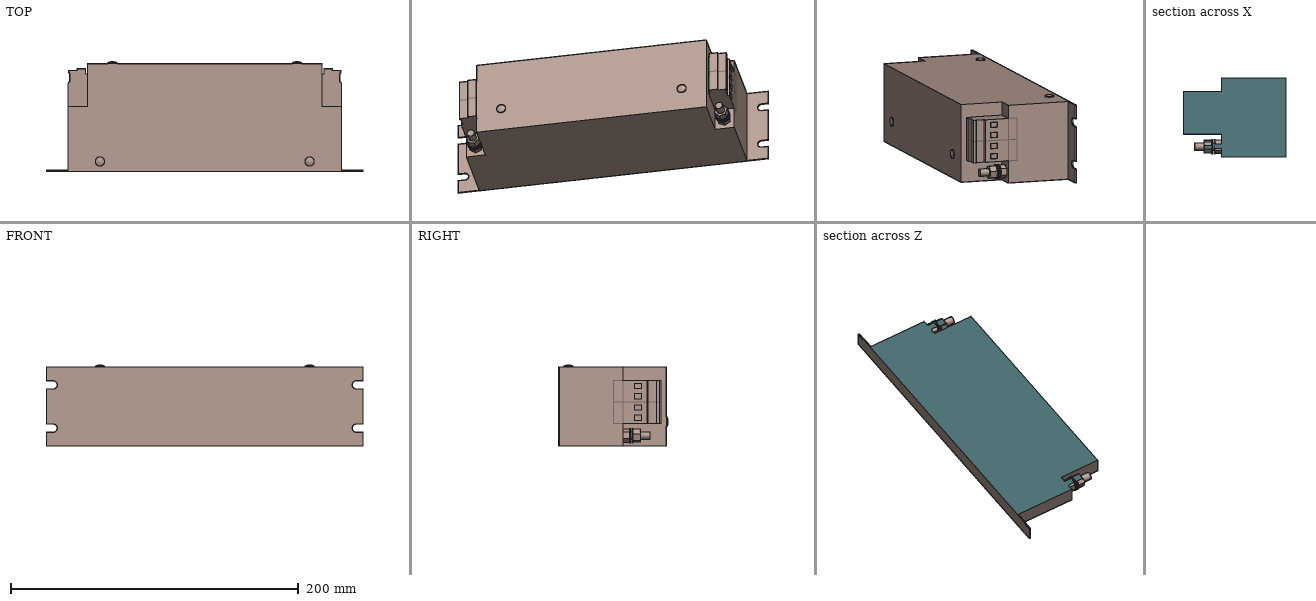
import cadquery as cq
import math

PLATE_LENGTH = 220.0
PLATE_THICKNESS = 1.0
HEIGHT = 55.0
SLOT_WIDTH = 5.5
SLOT_DEPTH = 7.5
SLOT_SPACING = 30.0

HOUSING_LENGTH = 190.0
HOUSING_DEPTH = 75.0
STEP_Y = 45.0
STEP_WIDTH = 13.5

SCREW_RADIUS = 3.2
SCREW_HEIGHT = 1.37
SCREW_RIM = 0.6
TOP_SCREW_X = 72.8
TOP_SCREW_Y = 7.0
BACK_SCREW_X = 64.0
BACK_SCREW_Z = 17.0

TERMINAL_BOTTOM = 15.75
TERMINAL_HEIGHT = 15.0
TERMINALS_PER_END = 2
TERMINAL_FRONT_Y = 38.4
TERMINAL_SHOULDER_Y = 61.6
TERMINAL_RECESS_Y = 62.4
TERMINAL_RECESS = 1.2
LIP_FRONT_Y = 68.3
LIP_BACK_Y = 70.3
LIP_WIDTH = 0.8
RIDGE_START = 6.4
RIDGE_BACK_Y = 71.5
GAP_FLOOR_Y = 67.8
GAP_WIDTH = 1.2
WINDOW_LENGTH = 4.8
WINDOW_HEIGHT = 3.6
WINDOW_DEPTH = 0.8
WINDOW_Y = 55.4
WINDOW_PITCH = 7.2

STUD_X = 88.0
STUD_Z = 7.25
STUD_RADIUS = 2.6
STUD_END_Y = 63.7
NUT_ACROSS_FLATS = 8.1
NUT_CORNER_DIAMETER = NUT_ACROSS_FLATS / math.cos(math.pi / 6)
INNER_NUT_END_Y = 49.4
OUTER_NUT_START_Y = 52.0
OUTER_NUT_END_Y = 57.1
INNER_NUT_TURN = 25.0
OUTER_NUT_TURN = -16.0
WASHER_RADIUS = 5.0
INNER_WASHER_THICKNESS = 0.9
OUTER_WASHER_THICKNESS = 0.7

HOUSING_END = HOUSING_LENGTH / 2
STEP_WALL = HOUSING_END - STEP_WIDTH
MID_Z = HEIGHT / 2


def make_plate():
    """Thin plate with two open-ended slots in each short side."""
    plate = cq.Workplane("XY").box(PLATE_LENGTH, PLATE_THICKNESS, HEIGHT, centered=(True, False, False))
    for side in (-1, 1):
        for level in (-1, 1):
            slot = (
                cq.Workplane("XZ", origin=(side * PLATE_LENGTH / 2, 0, MID_Z + level * SLOT_SPACING / 2))
                .slot2D(2 * SLOT_DEPTH, SLOT_WIDTH)
                .extrude(-PLATE_THICKNESS)
            )
            plate = plate.cut(slot)
    return plate


def make_housing():
    """Closed box, full length in front of the steps and shorter behind them."""
    front = cq.Workplane("XY").box(HOUSING_LENGTH, STEP_Y, HEIGHT, centered=(True, False, False))
    back = cq.Workplane("XY").box(2 * STEP_WALL, HOUSING_DEPTH, HEIGHT, centered=(True, False, False))
    return front.union(back)


def make_screw_head():
    """Low cylindrical rim under a spherical cap, standing on the XY plane at the origin."""
    rise = SCREW_HEIGHT - SCREW_RIM
    cap_radius = (SCREW_RADIUS**2 + rise**2) / (2 * rise)
    return (
        cq.Workplane("XZ")
        .lineTo(SCREW_RADIUS, 0)
        .lineTo(SCREW_RADIUS, SCREW_RIM)
        .radiusArc((0, SCREW_HEIGHT), -cap_radius)
        .close()
        .revolve(360, (0, 0, 0), (0, 1, 0))
    )


def make_terminal(bottom):
    """Terminal block at the -X end, flush with the housing end, with a shallow window for each pole."""
    face = -HOUSING_END
    recess = -HOUSING_END + TERMINAL_RECESS
    lip = recess - LIP_WIDTH
    ridge = -HOUSING_END + RIDGE_START
    gap = -STEP_WALL - GAP_WIDTH
    block = (
        cq.Workplane("XY", origin=(0, 0, bottom))
        .polyline(
            [
                (-STEP_WALL, TERMINAL_FRONT_Y),
                (face, TERMINAL_FRONT_Y),
                (face, TERMINAL_SHOULDER_Y),
                (recess, TERMINAL_RECESS_Y),
                (recess, LIP_FRONT_Y),
                (lip, LIP_FRONT_Y),
                (lip, LIP_BACK_Y),
                (ridge, LIP_BACK_Y),
                (ridge, RIDGE_BACK_Y),
                (gap, RIDGE_BACK_Y),
                (gap, GAP_FLOOR_Y),
                (-STEP_WALL, GAP_FLOOR_Y),
            ]
        )
        .close()
        .extrude(TERMINAL_HEIGHT)
    )
    middle = bottom + TERMINAL_HEIGHT / 2
    for side in (-1, 1):
        level = middle + side * WINDOW_PITCH / 2
        window = cq.Workplane("XY", origin=(face, WINDOW_Y, level)).box(
            2 * WINDOW_DEPTH, WINDOW_LENGTH, WINDOW_HEIGHT
        )
        block = block.cut(window)
    return block


def rod(start_y, end_y):
    """Workplane on the stud axis and the signed extrusion length between two Y positions."""
    return cq.Workplane("XZ", origin=(-STUD_X, start_y, STUD_Z)), start_y - end_y


def make_disc(start_y, end_y, radius):
    plane, length = rod(start_y, end_y)
    return plane.circle(radius).extrude(length)


def make_nut(start_y, end_y, turn):
    plane, length = rod(start_y, end_y)
    return plane.transformed(rotate=(0, 0, turn)).polygon(6, NUT_CORNER_DIAMETER).extrude(length)


def make_stud():
    """Earth stud at the -X end with its nuts and washers."""
    washer_end = INNER_NUT_END_Y + INNER_WASHER_THICKNESS
    washer_start = OUTER_NUT_START_Y - OUTER_WASHER_THICKNESS
    return (
        make_disc(STEP_Y, STUD_END_Y, STUD_RADIUS)
        .union(make_nut(STEP_Y, INNER_NUT_END_Y, INNER_NUT_TURN))
        .union(make_disc(INNER_NUT_END_Y, washer_end, WASHER_RADIUS))
        .union(make_disc(washer_start, OUTER_NUT_START_Y, WASHER_RADIUS))
        .union(make_nut(OUTER_NUT_START_Y, OUTER_NUT_END_Y, OUTER_NUT_TURN))
    )


def make_fittings():
    """Terminal blocks and earth stud of the -X end; the faces of stacked blocks stay separate."""
    fittings = make_stud()
    for index in range(TERMINALS_PER_END):
        terminal = make_terminal(TERMINAL_BOTTOM + index * TERMINAL_HEIGHT)
        fittings = fittings.union(terminal, clean=False)
    return fittings


def add_screw_heads(body):
    """Two heads on the top face and two on the back face."""
    top_head = make_screw_head()
    back_head = top_head.rotate((0, 0, 0), (1, 0, 0), -90)
    for side in (-1, 1):
        top_place = (side * TOP_SCREW_X, TOP_SCREW_Y, HEIGHT)
        back_place = (side * BACK_SCREW_X, HOUSING_DEPTH, BACK_SCREW_Z)
        body = body.union(top_head.translate(top_place), clean=False)
        body = body.union(back_head.translate(back_place), clean=False)
    return body


housing = add_screw_heads(make_housing().union(make_plate()))
left_fittings = make_fittings()
right_fittings = left_fittings.mirror("YZ")
result = housing.union(left_fittings, clean=False).union(right_fittings, clean=False)